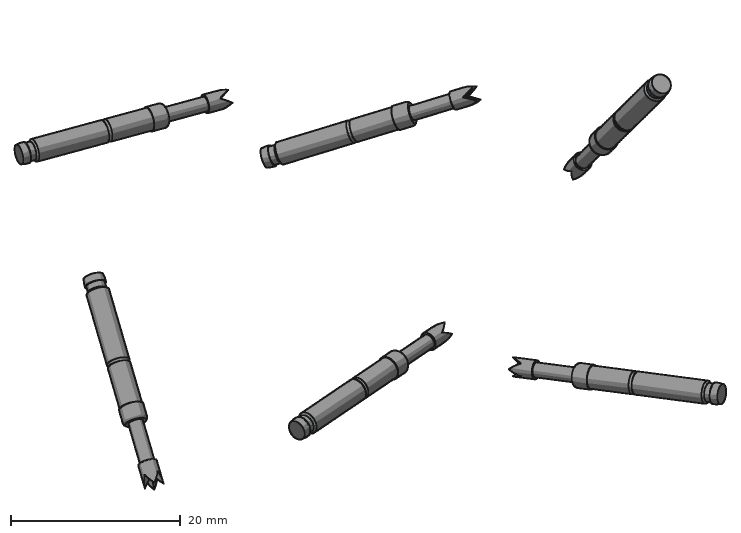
import cadquery as cq
import math

total_length = 27.3

head_diameter = 2.3
head_length = 3.0
stem_diameter = 1.8
crown_tip_count = 4
crown_groove_angle = 60.0

flange_diameter = 3.0
flange_front_y = 19.0
flange_rear_y = 16.95
flange_face_diameter = 2.57
flange_nose_length = 0.4
body_diameter = 2.78
body_rear_y = 1.75
groove_diameter = 2.4
groove_middle_y = 11.33
groove_width = 0.4

neck_diameter = 2.3
collar_diameter = 2.6
collar_length = 0.98
collar_taper_length = 0.57
end_face_diameter = 2.43


def turned_length(diameter, rear_y, front_y):
    """Solid cylinder on the Y axis between two stations."""
    return cq.Workplane("XZ", origin=(0, rear_y, 0)).circle(diameter / 2).extrude(rear_y - front_y)


def make_plunger():
    head_rear_y = total_length - head_length
    stem = turned_length(stem_diameter, flange_rear_y, head_rear_y)
    head = turned_length(head_diameter, head_rear_y, total_length)
    return stem.union(head).cut(make_crown_grooves())


def make_crown_grooves():
    """Crossing V-grooves through the axis; the tips remain on the rim between them."""
    tip_spacing = 360 / crown_tip_count
    half_width = head_diameter / 2 * math.sin(math.radians(tip_spacing / 2))
    depth = half_width / math.tan(math.radians(crown_groove_angle / 2))
    cutter_scale = 2
    groove = (
        cq.Workplane("XY")
        .moveTo(0, total_length - depth)
        .lineTo(half_width * cutter_scale, total_length + depth * (cutter_scale - 1))
        .lineTo(-half_width * cutter_scale, total_length + depth * (cutter_scale - 1))
        .close()
        .extrude(head_diameter, both=True)
    )
    grooves = cq.Workplane("XY")
    for index in range(crown_tip_count // 2):
        angle = (index + 0.5) * tip_spacing
        grooves = grooves.add(groove.rotate((0, 0, 0), (0, 1, 0), angle))
    return grooves.combine()


def make_barrel():
    body_chamfer = (body_diameter - neck_diameter) / 2
    body = turned_length(body_diameter, body_rear_y, flange_rear_y).faces("<Y").chamfer(body_chamfer)
    return body.union(make_flange()).cut(make_body_groove())


def make_flange():
    """Flange with a rounded nose, tangent to its rim and meeting the flat front face at a corner."""
    rim_radius = flange_diameter / 2
    face_radius = flange_face_diameter / 2
    nose_drop = rim_radius - face_radius
    nose_radius = (nose_drop**2 + flange_nose_length**2) / (2 * nose_drop)
    return (
        cq.Workplane("XY")
        .moveTo(0, flange_rear_y)
        .lineTo(rim_radius, flange_rear_y)
        .lineTo(rim_radius, flange_front_y - flange_nose_length)
        .radiusArc((face_radius, flange_front_y), -nose_radius)
        .lineTo(0, flange_front_y)
        .close()
        .revolve(360, (0, 0), (0, 1))
    )


def make_body_groove():
    """Round-bottomed ring groove."""
    body_radius = body_diameter / 2
    groove_front_y = groove_middle_y + groove_width / 2
    groove_rear_y = groove_middle_y - groove_width / 2
    return (
        cq.Workplane("XY")
        .moveTo(body_radius, groove_rear_y)
        .threePointArc((groove_diameter / 2, groove_middle_y), (body_radius, groove_front_y))
        .close()
        .revolve(360, (0, 0), (0, 1))
    )


def make_tail():
    neck = turned_length(neck_diameter, collar_length, body_rear_y)
    collar = turned_length(collar_diameter, collar_taper_length, collar_length)
    taper = (
        cq.Workplane("XY")
        .lineTo(end_face_diameter / 2, 0)
        .lineTo(collar_diameter / 2, collar_taper_length)
        .lineTo(0, collar_taper_length)
        .close()
        .revolve(360, (0, 0), (0, 1))
    )
    return neck.union(collar).union(taper)


result = make_barrel().union(make_plunger()).union(make_tail())